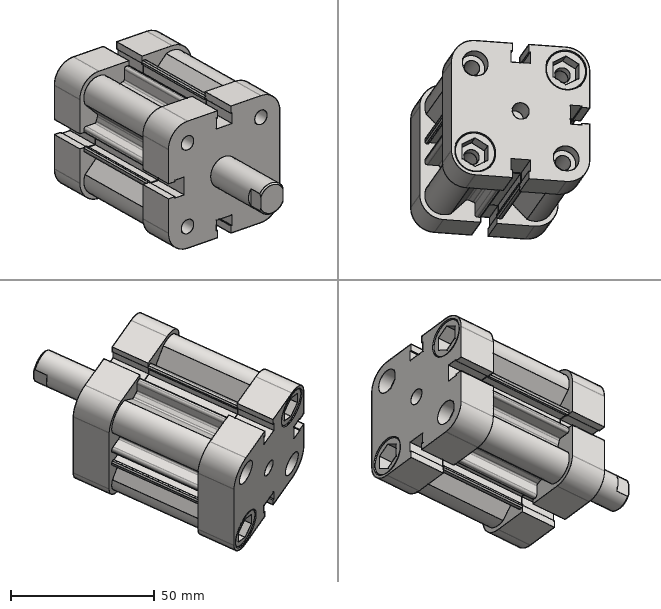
import cadquery as cq
import math


TOTAL_LENGTH = 91.5
HOUSING_LENGTH = 64.5
COVER_LENGTH = 14.5
COVER_SIDE = 49.5
COVER_HALF = COVER_SIDE / 2
CORNER_AXIS = 16.3
COVER_CORNER_RADIUS = COVER_HALF - CORNER_AXIS

COVER_SLOT_HALF = 2.9
COVER_SLOT_WIDE_HALF = 3.5
COVER_SLOT_LEDGE_DEPTH = 2.8
COVER_SLOT_DEPTH = 6.95

BARREL_HALF = 23.0
BARREL_CORNER_RADIUS = BARREL_HALF - CORNER_AXIS
BARREL_SLOT_FLOOR = 18.1
LIP_HALF = 2.65
LIP_CHAMFER = 0.55
LIP_BOTTOM = 21.7
GROOVE_HALF = LIP_HALF + LIP_CHAMFER
RAIL_OUTER = 5.0
RAIL_NOSE_RADIUS = 1.0
RAIL_FOOT_RADIUS = 0.6
VALLEY_START_HEIGHT = 17.5
VALLEY_END = 7.3
VALLEY_END_HEIGHT = 16.9
FLANK_START = 8.4
FLANK_END = 13.6

THROUGH_HOLE_DIAMETER = 5.5
CORNER_BORE_DIAMETER = 9.15
CORNER_BORE_DEPTH = 5.1
PORT_DIAMETER = 6.0
PORT_DEPTH = 9.15

SCREW_DIAMETER = 14.0
SCREW_LENGTH = 9.15
SCREW_RECESS = 0.4
SCREW_SOCKET_FLATS = 9.15
SCREW_SOCKET_DEPTH = 5.5
COUNTERBORE_DIAMETER = 14.6

ROD_DIAMETER = 12.0
ROD_FLATS = 10.0
ROD_FLAT_LENGTH = 5.4
ROD_STEP_SLOPE = 0.3
ROD_CHAMFER = 0.55

SCREW_CORNERS = [(-CORNER_AXIS, CORNER_AXIS), (CORNER_AXIS, -CORNER_AXIS)]
PLAIN_CORNERS = [(CORNER_AXIS, CORNER_AXIS), (-CORNER_AXIS, -CORNER_AXIS)]


def section_plane(x):
    """Sketch plane across the part at x: sketch axes are Y and Z, extrusion runs toward +X."""
    return cq.Workplane("YZ", origin=(x, 0, 0))


def make_cover(x):
    """Rounded square cover with a stepped slot on the +Z, -Z and -Y sides."""
    cover = section_plane(x).rect(COVER_SIDE, COVER_SIDE).extrude(COVER_LENGTH)
    cover = cover.edges("|X").fillet(COVER_CORNER_RADIUS)
    floor = COVER_HALF - COVER_SLOT_DEPTH
    ledge = COVER_HALF - COVER_SLOT_LEDGE_DEPTH
    slot_outline = [
        (-COVER_SLOT_HALF, COVER_HALF),
        (-COVER_SLOT_HALF, ledge),
        (-COVER_SLOT_WIDE_HALF, ledge),
        (-COVER_SLOT_WIDE_HALF, floor),
        (COVER_SLOT_WIDE_HALF, floor),
        (COVER_SLOT_WIDE_HALF, ledge),
        (COVER_SLOT_HALF, ledge),
        (COVER_SLOT_HALF, COVER_HALF),
    ]
    slot = section_plane(x).polyline(slot_outline).close().extrude(COVER_LENGTH)
    for angle in (0, 90, 180):
        cover = cover.cut(slot.rotate((0, 0, 0), (1, 0, 0), angle))
    return cover


def arc_middle(center, radius, degrees):
    """Point on a circle, used as the middle point of an arc."""
    angle = math.radians(degrees)
    return (center[0] + radius * math.cos(angle), center[1] + radius * math.sin(angle))


def make_barrel_wedge(x, length):
    """One eighth of the barrel: from the middle of the +Z slot to the corner diagonal at +Y +Z."""
    nose_center = (RAIL_OUTER - RAIL_NOSE_RADIUS, BARREL_HALF - RAIL_NOSE_RADIUS)
    foot_center = (RAIL_OUTER + RAIL_FOOT_RADIUS, VALLEY_START_HEIGHT + RAIL_FOOT_RADIUS)
    corner_center = (CORNER_AXIS, CORNER_AXIS)
    flank_top_offset = FLANK_END - CORNER_AXIS
    flank_end_height = CORNER_AXIS + math.sqrt(BARREL_CORNER_RADIUS**2 - flank_top_offset**2)
    flank_start_height = flank_end_height - (FLANK_END - FLANK_START)
    return (
        section_plane(x)
        .moveTo(0, 0)
        .lineTo(0, BARREL_SLOT_FLOOR)
        .lineTo(GROOVE_HALF, BARREL_SLOT_FLOOR)
        .lineTo(GROOVE_HALF, LIP_BOTTOM)
        .lineTo(LIP_HALF, LIP_BOTTOM)
        .lineTo(LIP_HALF, BARREL_HALF - LIP_CHAMFER)
        .lineTo(LIP_HALF + LIP_CHAMFER, BARREL_HALF)
        .lineTo(nose_center[0], BARREL_HALF)
        .threePointArc(arc_middle(nose_center, RAIL_NOSE_RADIUS, 45), (RAIL_OUTER, nose_center[1]))
        .lineTo(RAIL_OUTER, foot_center[1])
        .threePointArc(arc_middle(foot_center, RAIL_FOOT_RADIUS, 225), (foot_center[0], VALLEY_START_HEIGHT))
        .lineTo(VALLEY_END, VALLEY_END_HEIGHT)
        .tangentArcPoint((FLANK_START, flank_start_height), relative=False)
        .lineTo(FLANK_END, flank_end_height)
        .threePointArc(
            (CORNER_AXIS, BARREL_HALF),
            arc_middle(corner_center, BARREL_CORNER_RADIUS, 45),
        )
        .close()
        .extrude(length)
    )


def make_barrel():
    """Extruded barrel with the same slotted profile on its four sides."""
    wedge = make_barrel_wedge(COVER_LENGTH, HOUSING_LENGTH - 2 * COVER_LENGTH)
    quarter = wedge.union(wedge.mirror("XZ"))
    barrel = quarter
    for angle in (90, 180, 270):
        barrel = barrel.union(quarter.rotate((0, 0, 0), (1, 0, 0), angle))
    return barrel


def make_housing():
    """Barrel and both covers in one piece, with its corner holes, rear port and rod hole."""
    rod_hole_start = HOUSING_LENGTH - COVER_LENGTH
    housing = make_barrel().union(make_cover(0)).union(make_cover(rod_hole_start))
    for corners, diameter, depth in (
        (SCREW_CORNERS + PLAIN_CORNERS, THROUGH_HOLE_DIAMETER, HOUSING_LENGTH),
        (PLAIN_CORNERS, CORNER_BORE_DIAMETER, CORNER_BORE_DEPTH),
        (SCREW_CORNERS, COUNTERBORE_DIAMETER, SCREW_RECESS + SCREW_LENGTH),
        ([(0, 0)], PORT_DIAMETER, PORT_DEPTH),
    ):
        housing = housing.cut(section_plane(0).pushPoints(corners).circle(diameter / 2).extrude(depth))
    return housing.cut(section_plane(rod_hole_start).circle(ROD_DIAMETER / 2).extrude(COVER_LENGTH))


def make_rod():
    """Rod seated in the front cover, with a chamfered tip and two wrench flats facing -Y and +Y."""
    start = HOUSING_LENGTH - COVER_LENGTH
    rod = section_plane(start).circle(ROD_DIAMETER / 2).extrude(TOTAL_LENGTH - start)
    rod = rod.faces(">X").chamfer(ROD_CHAMFER)
    flat_start = TOTAL_LENGTH - ROD_FLAT_LENGTH
    flat_outline = [
        (flat_start - ROD_STEP_SLOPE, ROD_DIAMETER / 2),
        (flat_start, ROD_FLATS / 2),
        (TOTAL_LENGTH, ROD_FLATS / 2),
        (TOTAL_LENGTH, ROD_DIAMETER / 2),
    ]
    flat_cut = cq.Workplane("XY").polyline(flat_outline).close().extrude(ROD_DIAMETER / 2, both=True)
    return rod.cut(flat_cut).cut(flat_cut.mirror("XZ"))


def make_screw(corner):
    """Hollow screw in its counterbore, with a hexagon socket whose points face up and down."""
    socket_across_points = SCREW_SOCKET_FLATS / math.cos(math.radians(30))
    screw = section_plane(0).circle(SCREW_DIAMETER / 2).extrude(SCREW_LENGTH)
    socket = section_plane(0).polygon(6, socket_across_points).extrude(SCREW_SOCKET_DEPTH)
    screw = screw.cut(socket.rotate((0, 0, 0), (1, 0, 0), 90))
    screw = screw.cut(section_plane(0).circle(THROUGH_HOLE_DIAMETER / 2).extrude(SCREW_LENGTH))
    return screw.translate((SCREW_RECESS, corner[0], corner[1]))


housing = make_housing()
rod = make_rod()
screws = [make_screw(corner) for corner in SCREW_CORNERS]

result = cq.Compound.makeCompound([housing.val(), rod.val(), *[screw.val() for screw in screws]])